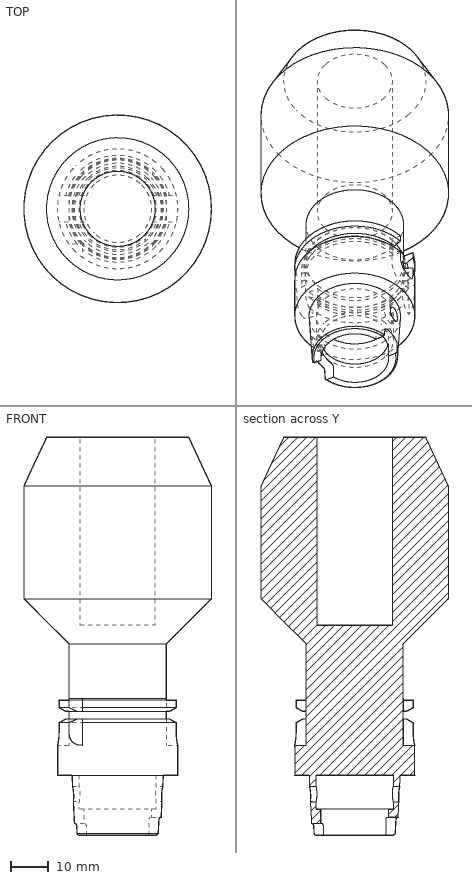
import cadquery as cq
import math


head_top = 90.0
head_radius = 25.0
head_tip_height = 13.0
head_tip_angle = 25.0
neck_radius = 13.0
neck_top = 35.0
tool_bore_radius = 10.0
tool_bore_depth = 50.0

flange_radius = 16.0
flange_top = 20.0
flange_relief_radius = 13.5
flange_relief_height = 0.5
groove_center = 16.0
groove_width = 2.0
groove_floor_radius = 13.25
groove_flank_height = 1.0
groove_flank_angle = 60.0

shank_length = 16.0
shank_top_radius = 12.18
shank_taper = 1 / 20
shank_bottom_chamfer = 0.45
shank_mouth_radius = 9.0
shank_chamber_radius = 10.25
shank_chamber_height = 9.0

slot_width = 7.0
slot_bottom = 8.0
slot_floor = 13.0

notch_wall = 9.4

key_width = 7.05
key_corner_radius = 1.0
near_key_depth = 3.15
far_key_depth = 4.8
cross_hole_diameter = 4.0
cross_hole_z = -5.0


def turned_body():
    """Solid of revolution of the whole outer outline."""
    head_tip_radius = head_radius - head_tip_height * math.tan(math.radians(head_tip_angle))
    head_bottom = neck_top + head_radius - neck_radius
    flank_radius = flange_radius - groove_flank_height * math.tan(math.radians(groove_flank_angle))
    groove_top = groove_center + groove_width / 2
    groove_bottom = groove_center - groove_width / 2
    shank_end_radius = shank_top_radius - shank_length * shank_taper
    outline = [
        (0, -shank_length),
        (shank_end_radius - shank_bottom_chamfer, -shank_length),
        (shank_end_radius, -shank_length + shank_bottom_chamfer),
        (shank_top_radius, 0),
        (flange_radius, 0),
        (flange_radius, groove_bottom - groove_flank_height),
        (flank_radius, groove_bottom),
        (groove_floor_radius, groove_bottom),
        (groove_floor_radius, groove_top),
        (flank_radius, groove_top),
        (flange_radius, groove_top + groove_flank_height),
        (flange_radius, flange_top),
        (flange_relief_radius, flange_top),
        (neck_radius, flange_top + flange_relief_height),
        (neck_radius, neck_top),
        (head_radius, head_bottom),
        (head_radius, head_top - head_tip_height),
        (head_tip_radius, head_top),
        (0, head_top),
    ]
    return cq.Workplane("XZ").polyline(outline).close().revolve(360, (0, 0), (0, 1))


def bore(radius, bottom, height):
    """Cylinder on the part axis."""
    return cq.Workplane("XY").workplane(offset=bottom).circle(radius).extrude(height)


def flange_slot(side, floor, center_y):
    """Round-bottomed slot along X, open to the outside and upwards; side is +1 or -1."""
    radius = slot_width / 2
    arc_z = slot_bottom + radius
    top = flange_top + flange_relief_height
    depth = flange_radius - floor
    return (
        cq.Workplane("YZ", origin=(side * floor, center_y, 0))
        .moveTo(-radius, top)
        .lineTo(-radius, arc_z)
        .threePointArc((0, slot_bottom), (radius, arc_z))
        .lineTo(radius, top)
        .close()
        .extrude(side * depth)
    )


def shank_keyway(side, depth):
    """Keyway through one wall of the shank, open downwards, with rounded upper corners."""
    length = shank_top_radius
    return (
        cq.Workplane("XY")
        .box(length, key_width, depth, centered=(True, True, False))
        .edges("|X and >Z")
        .fillet(key_corner_radius)
        .translate((side * length / 2, 0, -shank_length))
    )


def cross_hole():
    """Hole along X through both walls of the shank."""
    return (
        cq.Workplane("YZ")
        .center(0, cross_hole_z)
        .circle(cross_hole_diameter / 2)
        .extrude(shank_top_radius, both=True)
    )


result = turned_body()
result = result.cut(bore(tool_bore_radius, head_top - tool_bore_depth, tool_bore_depth))
result = result.cut(bore(shank_mouth_radius, -shank_length, shank_length))
result = result.cut(bore(shank_chamber_radius, -shank_chamber_height, shank_chamber_height))
for side in (-1, 1):
    result = result.cut(flange_slot(side, slot_floor, 0))
result = result.cut(flange_slot(-1, notch_wall, -notch_wall - slot_width / 2))
result = result.cut(shank_keyway(-1, near_key_depth))
result = result.cut(shank_keyway(1, far_key_depth))
result = result.cut(cross_hole())